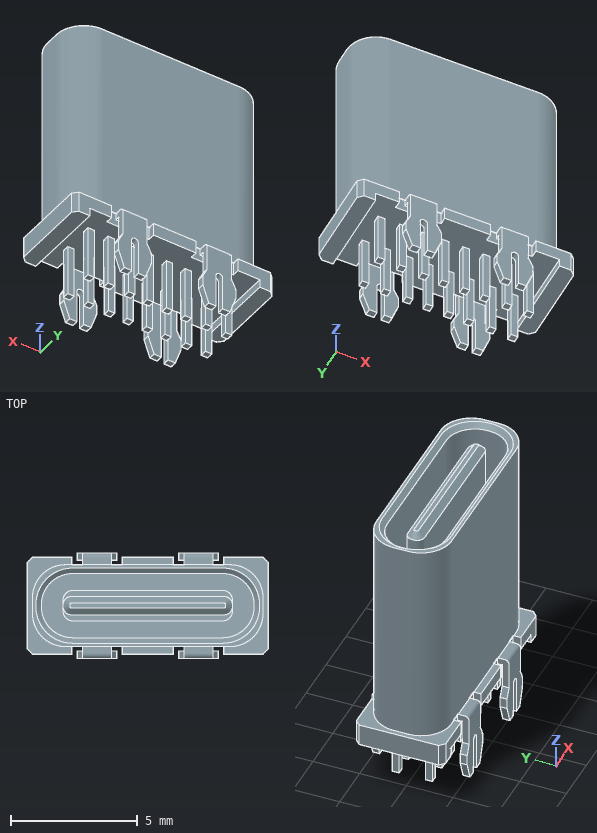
import cadquery as cq

total_height = 12.04
base_top = 3.01

shell_length = 9.08
shell_width = 3.23
shell_radius = 1.3
wall = 0.35
mouth_bevel = 0.22
cavity_radius = 1.23
cavity_depth = 6.5

tongue_length = 6.67
tongue_width = 0.72
tongue_radius = 0.33
tongue_bevel = 0.26
tongue_recess = 0.1
root_width = 1.2
root_radius = 0.39
root_height = 1.32

base_length = 9.5
base_width = 3.83
base_thickness = 0.59
base_corner = 0.22
foot_length = 0.72
foot_height = 0.96

clip_spacing = 4.0
notch_length = 1.99
notch_undercut = 0.02
clip_span = 4.17
clip_thickness = 0.3
clip_bend_radius = 0.19
clip_neck_half = 0.58
clip_barb_half = 0.78
clip_tip_half = 0.5
clip_neck_end = 1.67
clip_barb_top = 1.25
clip_barb_bottom = 0.8
clip_slot_width = 0.31
clip_slot_top = 1.7

pin_size = 0.3
pin_bottom = 0.05
pin_row_spacing = 1.42
pin_offsets = (0.46, 1.34, 2.31, 3.26)

cavity_floor = total_height - cavity_depth


def rounded_block(length, width, height, radius, bottom):
    """Upright block with rounded vertical edges, centred on the Z axis."""
    block = cq.Workplane("XY").workplane(offset=bottom).rect(length, width).extrude(height)
    return block.edges("|Z").fillet(radius)


def make_shell():
    height = total_height - base_top
    shell = rounded_block(shell_length, shell_width, height, shell_radius, base_top)
    cavity_length = shell_length - 2 * wall
    cavity_width = shell_width - 2 * wall
    cavity = rounded_block(cavity_length, cavity_width, cavity_depth, cavity_radius, cavity_floor)
    shell = shell.cut(cavity)
    mouth_edges = shell.faces(">Z").val().innerWires()[0].Edges()
    return shell.newObject(mouth_edges).chamfer(mouth_bevel)


def make_tongue():
    blade_height = cavity_depth - tongue_recess
    blade = rounded_block(tongue_length, tongue_width, blade_height, tongue_radius, cavity_floor)
    blade = blade.faces(">Z").edges().chamfer(tongue_bevel)
    root = rounded_block(tongue_length, root_width, root_height, root_radius, cavity_floor)
    return blade.union(root)


def make_base():
    base = (
        cq.Workplane("XY").workplane(offset=base_top)
        .rect(base_length, base_width).extrude(-foot_height)
        .edges("|Z").chamfer(base_corner)
    )
    underside_height = foot_height - base_thickness
    underside = (
        cq.Workplane("XY").workplane(offset=base_top - foot_height)
        .rect(base_length - 2 * foot_length, base_width).extrude(underside_height)
    )
    notch_depth = (base_width - shell_width) / 2 + notch_undercut
    notches = (
        cq.Workplane("XY").workplane(offset=base_top)
        .rarray(clip_spacing, base_width - notch_depth, 2, 2)
        .rect(notch_length, notch_depth).extrude(-foot_height)
    )
    return base.cut(underside).cut(notches)


def make_clip():
    """Clip on the -Y side, centred on x = 0: a strip bent down from the shell."""
    outer_y = -clip_span / 2
    blade = (
        cq.Workplane("XZ", origin=(0, outer_y, 0))
        .moveTo(-clip_neck_half, base_top)
        .lineTo(clip_neck_half, base_top)
        .lineTo(clip_neck_half, clip_neck_end)
        .lineTo(clip_barb_half, clip_barb_top)
        .lineTo(clip_barb_half, clip_barb_bottom)
        .lineTo(clip_tip_half, 0)
        .lineTo(-clip_tip_half, 0)
        .lineTo(-clip_barb_half, clip_barb_bottom)
        .lineTo(-clip_barb_half, clip_barb_top)
        .lineTo(-clip_neck_half, clip_neck_end)
        .close()
        .extrude(-clip_thickness)
    )
    slot_half = clip_slot_width / 2
    slot_shoulder = clip_slot_top - slot_half
    slot = (
        cq.Workplane("XZ", origin=(0, outer_y, 0))
        .moveTo(-slot_half, 0)
        .lineTo(-slot_half, slot_shoulder)
        .threePointArc((0, clip_slot_top), (slot_half, slot_shoulder))
        .lineTo(slot_half, 0)
        .close()
        .extrude(-clip_thickness)
    )
    arm_length = (clip_span - shell_width) / 2 + notch_undercut
    arm = (
        cq.Workplane("XY", origin=(0, outer_y, base_top - clip_thickness))
        .box(2 * clip_neck_half, arm_length, clip_thickness, centered=(True, False, False))
    )
    clip = blade.cut(slot).union(arm)
    return clip.edges("|X and >Z and <Y").fillet(clip_bend_radius)


def make_pins():
    pin_top = base_top - base_thickness
    points = [
        (side * offset, row * pin_row_spacing / 2)
        for offset in pin_offsets
        for side in (-1, 1)
        for row in (-1, 1)
    ]
    return (
        cq.Workplane("XY").workplane(offset=pin_bottom).pushPoints(points)
        .rect(pin_size, pin_size).extrude(pin_top - pin_bottom)
    )


result = make_base().union(make_shell()).union(make_tongue()).union(make_pins())
for clip_x in (-clip_spacing / 2, clip_spacing / 2):
    clip = make_clip().translate((clip_x, 0, 0))
    result = result.union(clip).union(clip.mirror("XZ"))